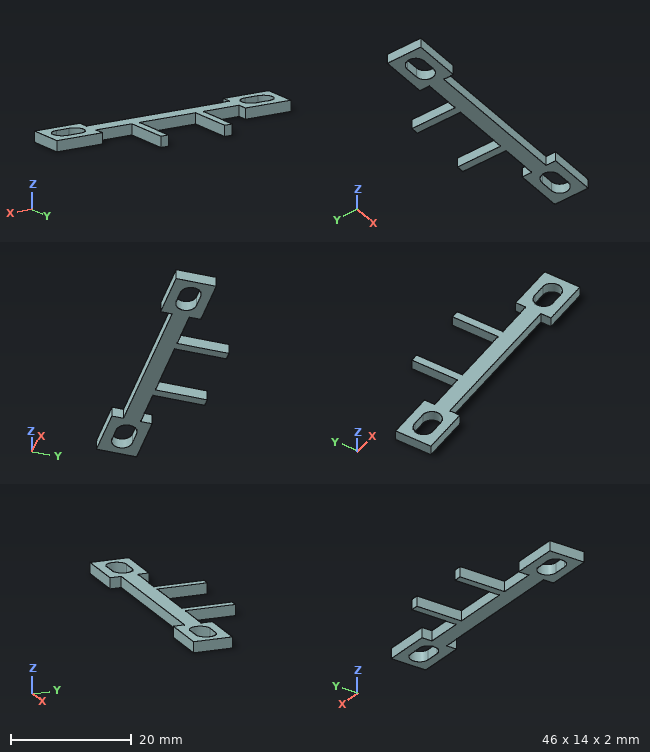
import cadquery as cq

length = 46.0
depth = 14.0
thickness = 2.0

pad_length = 8.95
pad_width = 7.0
slot_length = 6.0
slot_width = 3.5

bar_width = 3.0
prong_width = 1.5
prong_spacing = 12.5

pad_offset = (length - pad_length) / 2
prong_reach = depth - pad_width / 2
pad_centres = [(-pad_offset, 0), (pad_offset, 0)]
prong_centres = [(side * prong_spacing / 2, prong_reach / 2) for side in (-1, 1)]


def plates(centres, size_x, size_y):
    """Rectangular plates of full thickness at the given centres."""
    return cq.Workplane("XY").pushPoints(centres).rect(size_x, size_y).extrude(thickness)


bar = plates([(0, 0)], length - pad_length, bar_width)
pads = plates(pad_centres, pad_length, pad_width)
prongs = plates(prong_centres, prong_width, prong_reach)
slots = (
    cq.Workplane("XY")
    .pushPoints(pad_centres)
    .slot2D(slot_length, slot_width)
    .extrude(thickness)
)

result = bar.union(pads).union(prongs).cut(slots)